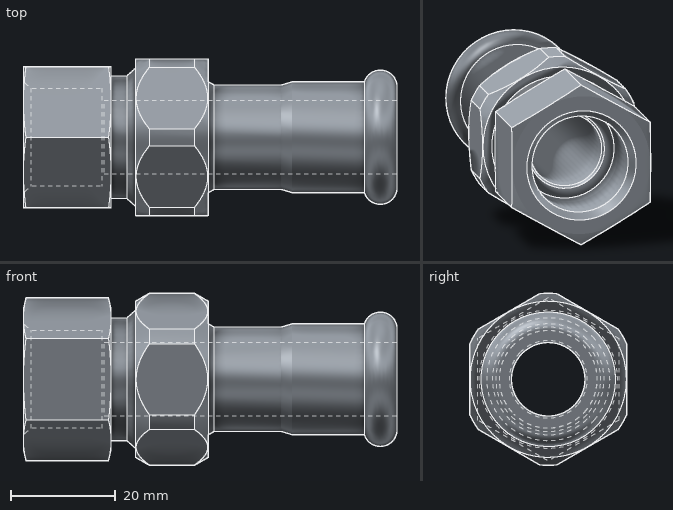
import cadquery as cq
import math

length = 71.5
end_hex_length = 16.8
neck_end = 19.8
nut_start = 21.45
nut_end = 35.4
shoulder_end = 36.5
flare_start = 49.3
flare_end = 51.5

end_hex_flats = 27.0
end_hex_face_diameter = 26.9
nut_flats = 30.0
nut_corner_diameter = 32.95
neck_diameter = 23.5
collar_diameter = 26.45
shoulder_diameter = 21.3
tube_diameter = 20.0
socket_diameter = 21.3
bead_diameter = 25.75
bead_width = 6.4

through_diameter = 14.0
thread_diameter = 18.7
mouth_diameter = 21.3
mouth_depth = 1.4
thread_depth = 10.6
thread_taper_length = 0.5
relief_diameter = 18.65
seat_depth = 15.0
seat_diameter = 14.9
seat_chamfer = (seat_diameter - through_diameter) / 2

end_hex_corner_diameter = end_hex_flats / math.cos(math.radians(30))
end_hex_chamfer_length = 0.5
nut_face_diameter = 29.9
nut_chamfer_length = 2.65


def revolve_about_x(points):
    """Solid of revolution from (x, radius) points, closed along the X axis."""
    profile = [(points[0][0], 0)] + points + [(points[-1][0], 0)]
    return cq.Workplane("XY").polyline(profile).close().revolve(360, (0, 0, 0), (1, 0, 0))


def chamfered_hexagon(start, end, flats, corner_diameter, face_diameter, chamfer_length):
    """Hexagonal prism with corners on +/-Z, turned to a chamfered cylinder."""
    corner_to_corner = flats / math.cos(math.radians(30))
    prism = (
        cq.Workplane("YZ", origin=(start, 0, 0))
        .transformed(rotate=(0, 0, 90))
        .polygon(6, corner_to_corner)
        .extrude(end - start)
    )
    corner_radius = corner_diameter / 2
    face_radius = face_diameter / 2
    envelope = revolve_about_x([
        (start, face_radius),
        (start + chamfer_length, corner_radius),
        (end - chamfer_length, corner_radius),
        (end, face_radius),
    ])
    return prism.intersect(envelope)


def turned_body():
    """Neck, conical collar, tube and flared press socket."""
    bead_center = length - bead_width / 2
    return revolve_about_x([
        (end_hex_length, neck_diameter / 2),
        (neck_end, neck_diameter / 2),
        (nut_start, collar_diameter / 2),
        (nut_end, shoulder_diameter / 2),
        (shoulder_end, tube_diameter / 2),
        (flare_start, tube_diameter / 2),
        (flare_end, socket_diameter / 2),
        (bead_center, socket_diameter / 2),
    ])


def press_bead():
    """Rounded bead around the press end, semicircular outer edge and flat end face."""
    bead_radius = bead_width / 2
    bead_start = length - bead_width
    center_radius = bead_diameter / 2 - bead_radius
    return (
        cq.Workplane("XY")
        .moveTo(bead_start, 0)
        .lineTo(bead_start, center_radius)
        .threePointArc((bead_start + bead_radius, bead_diameter / 2), (length, center_radius))
        .lineTo(length, 0)
        .close()
        .revolve(360, (0, 0, 0), (1, 0, 0))
    )


def bore():
    """Chamfered threaded bore, slightly narrower relief, seat chamfer and through hole."""
    return revolve_about_x([
        (0, mouth_diameter / 2),
        (mouth_depth, thread_diameter / 2),
        (thread_depth, thread_diameter / 2),
        (thread_depth + thread_taper_length, relief_diameter / 2),
        (seat_depth, relief_diameter / 2),
        (seat_depth, seat_diameter / 2),
        (seat_depth + seat_chamfer, through_diameter / 2),
        (length, through_diameter / 2),
    ])


end_hexagon = chamfered_hexagon(
    0, end_hex_length, end_hex_flats,
    end_hex_corner_diameter, end_hex_face_diameter, end_hex_chamfer_length,
)
nut = chamfered_hexagon(
    nut_start, nut_end, nut_flats,
    nut_corner_diameter, nut_face_diameter, nut_chamfer_length,
)
result = end_hexagon.union(turned_body()).union(nut).union(press_bead()).cut(bore())